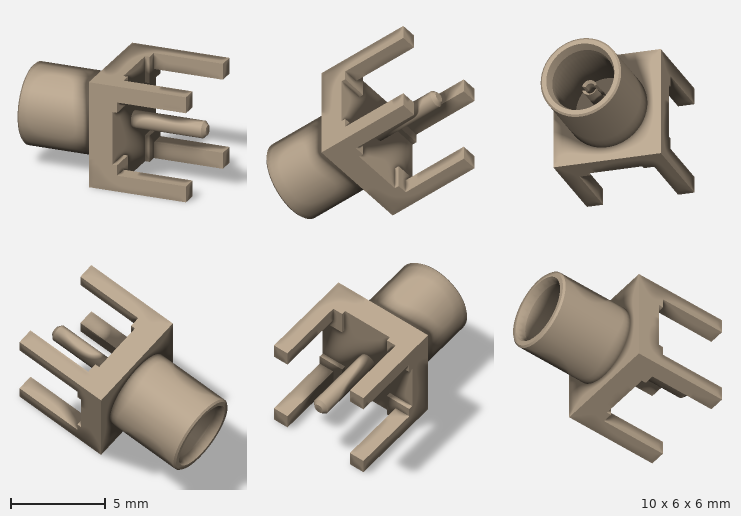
import cadquery as cq

total_length = 10.0
body_width = 6.0

barrel_length = 4.43
barrel_diameter = 4.5
barrel_chamfer = 0.1
bore_diameter = 3.46
mouth_diameter = 3.8
mouth_depth = 0.49

leg_width = 0.91
floor_x = 5.79
pad_height = 0.26
pad_gap = 3.0

pin_diameter = 0.95
pin_chamfer = 0.2

contact_diameter = 0.84
contact_hole_diameter = 0.56
contact_start_x = 1.5
contact_hole_depth = 2.0
contact_slot_width = 0.22
contact_slot_depth = 1.5
contact_lead_in = (contact_diameter - contact_hole_diameter) / 2
drill_tip_length = contact_hole_diameter / 4

bore_depth = barrel_length
leg_gap = body_width - 2 * leg_width
pad_x = floor_x + pad_height


def rod(start_x, end_x, diameter):
    """Solid cylinder along X."""
    return cq.Workplane("YZ", origin=(start_x, 0, 0)).circle(diameter / 2).extrude(end_x - start_x)


def block(start_x, end_x, size_y, size_z):
    """Box along X, centred in Y and Z."""
    return cq.Workplane("YZ", origin=(start_x, 0, 0)).rect(size_y, size_z).extrude(end_x - start_x)


def cross_cut(body, start_x, gap):
    """Cut a gap right through the body in both Y and Z, from start_x to the rear end."""
    body = body.cut(block(start_x, total_length, gap, body_width))
    return body.cut(block(start_x, total_length, body_width, gap))


def make_flange():
    flange = block(barrel_length, total_length, body_width, body_width)
    flange = cross_cut(flange, pad_x, leg_gap)
    return cross_cut(flange, floor_x, pad_gap)


def make_barrel():
    barrel = rod(0, barrel_length, barrel_diameter).faces("<X").chamfer(barrel_chamfer)
    bore_profile = [
        (0, 0),
        (0, mouth_diameter / 2),
        (mouth_depth, bore_diameter / 2),
        (bore_depth, bore_diameter / 2),
        (bore_depth, 0),
    ]
    bore = cq.Workplane("XY").polyline(bore_profile).close().revolve(360, (0, 0, 0), (1, 0, 0))
    return barrel.cut(bore)


def make_contact():
    hole_end_x = contact_start_x + contact_hole_depth
    hole_profile = [
        (contact_start_x, 0),
        (contact_start_x, contact_diameter / 2),
        (contact_start_x + contact_lead_in, contact_hole_diameter / 2),
        (hole_end_x, contact_hole_diameter / 2),
        (hole_end_x + drill_tip_length, 0),
    ]
    hole = cq.Workplane("XY").polyline(hole_profile).close().revolve(360, (0, 0, 0), (1, 0, 0))
    slot_end_x = contact_start_x + contact_slot_depth
    slot = block(contact_start_x, slot_end_x, contact_diameter, contact_slot_width)
    return rod(contact_start_x, floor_x, contact_diameter).cut(hole).cut(slot)


pin = rod(floor_x, total_length, pin_diameter).faces(">X").chamfer(pin_chamfer)

result = make_flange().union(make_barrel()).union(make_contact()).union(pin)